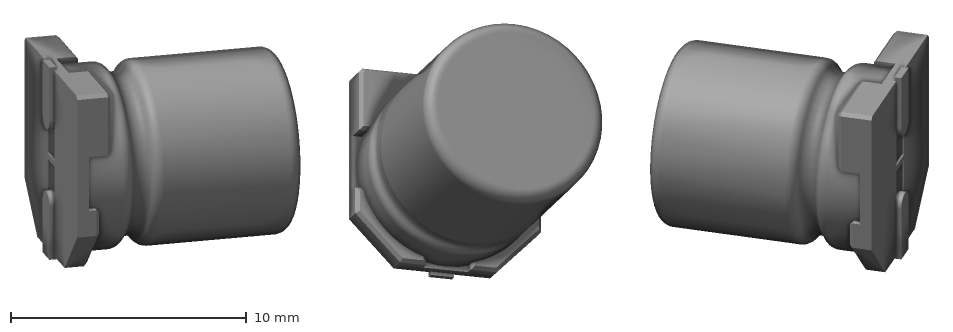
import cadquery as cq
import math

total_length = 10.2

can_radius = 4.0
can_top_fillet = 0.5
groove_centre_y = 3.2
groove_depth = 0.5
groove_arc_radius = 0.5

base_width = 8.3
base_half = base_width / 2
base_front_y = 0.21
plate_back_y = 0.72
tall_post_back_y = 1.72
short_post_back_y = 1.22
corner_cut = 2.0
post_chamfer = 0.15
end_gap_half = 1.0
side_gap_top = 1.4
side_gap_bottom = -1.0

lead_width = 1.04
lead_thickness = 0.31
lead_span = 8.6
lead_outer_z = lead_span / 2
lead_inner_z = 1.4
lead_end_radius = 0.5
slot_width = 1.11
slot_inner_z = 0.13


def slab(points, y_start, y_end):
    """Extrude a closed (x, z) outline along +Y from y_start to y_end."""
    plane = cq.Plane(origin=(0, y_start, 0), xDir=(1, 0, 0), normal=(0, -1, 0))
    return cq.Workplane(plane).polyline(points).close().extrude(y_start - y_end)


def make_can():
    """Revolve the can profile: flat bottom, rolled groove and rounded top edge."""
    half_length = math.sqrt(groove_depth * (4 * groove_arc_radius - groove_depth))
    arc_angle = math.asin(half_length / (2 * groove_arc_radius))
    mid_along = groove_arc_radius * math.sin(arc_angle / 2)
    mid_drop = groove_arc_radius * (1 - math.cos(arc_angle / 2))
    groove_start = groove_centre_y - half_length
    groove_end = groove_centre_y + half_length
    floor_radius = can_radius - groove_depth
    middle_radius = can_radius - groove_depth / 2
    shell_mid = can_radius - mid_drop
    floor_mid = floor_radius + mid_drop

    profile = (
        cq.Workplane("XY")
        .moveTo(0, plate_back_y)
        .lineTo(can_radius, plate_back_y)
        .lineTo(can_radius, groove_start)
        .threePointArc(
            (shell_mid, groove_start + mid_along),
            (middle_radius, groove_centre_y - half_length / 2),
        )
        .threePointArc((floor_mid, groove_centre_y - mid_along), (floor_radius, groove_centre_y))
        .threePointArc(
            (floor_mid, groove_centre_y + mid_along),
            (middle_radius, groove_centre_y + half_length / 2),
        )
        .threePointArc((shell_mid, groove_end - mid_along), (can_radius, groove_end))
        .lineTo(can_radius, total_length)
        .lineTo(0, total_length)
        .close()
    )
    can = profile.revolve(360, (0, 0, 0), (0, 1, 0))
    return can.faces(">Y").edges().fillet(can_top_fillet)


def make_post(points, back_y):
    """Corner post with a chamfered back rim."""
    return slab(points, base_front_y, back_y).faces(">Y").edges().chamfer(post_chamfer)


def make_base():
    """Plate with four corner posts around the can and two lead slots in its front face."""
    flat_half = base_half - corner_cut
    top_flat_half = base_half - post_chamfer
    top_corner_z = base_half - post_chamfer
    outline = [
        (-flat_half, -base_half),
        (flat_half, -base_half),
        (base_half, -flat_half),
        (base_half, top_corner_z),
        (top_flat_half, base_half),
        (-top_flat_half, base_half),
        (-base_half, top_corner_z),
        (-base_half, -flat_half),
    ]
    base = slab(outline, base_front_y, plate_back_y)

    for side in (-1, 1):
        tall_post = [
            (side * end_gap_half, side_gap_top),
            (side * base_half, side_gap_top),
            (side * base_half, top_corner_z),
            (side * top_flat_half, base_half),
            (side * end_gap_half, base_half),
        ]
        short_post = [
            (side * end_gap_half, side_gap_bottom),
            (side * base_half, side_gap_bottom),
            (side * base_half, -flat_half),
            (side * flat_half, -base_half),
            (side * end_gap_half, -base_half),
        ]
        base = base.union(make_post(tall_post, tall_post_back_y))
        base = base.union(make_post(short_post, short_post_back_y))

    can_seat = (
        cq.Workplane("XZ", origin=(0, plate_back_y, 0))
        .circle(can_radius)
        .extrude(plate_back_y - total_length)
    )
    base = base.cut(can_seat)

    for end in (-1, 1):
        slot = [
            (-slot_width / 2, end * slot_inner_z),
            (slot_width / 2, end * slot_inner_z),
            (slot_width / 2, end * base_half),
            (-slot_width / 2, end * base_half),
        ]
        base = base.cut(slab(slot, base_front_y, lead_thickness))
    return base


def make_lead(end):
    """Flat lead strip with a rounded inner end; end is +1 at the top, -1 at the bottom."""
    strip = [
        (-lead_width / 2, end * lead_inner_z),
        (lead_width / 2, end * lead_inner_z),
        (lead_width / 2, end * lead_outer_z),
        (-lead_width / 2, end * lead_outer_z),
    ]
    inner_side = "<Z" if end > 0 else ">Z"
    return slab(strip, 0, lead_thickness).faces(inner_side).edges("|Y").fillet(lead_end_radius)


can = make_can()
base = make_base()
leads = [make_lead(end) for end in (1, -1)]

result = cq.Compound.makeCompound([can.val(), base.val(), *[lead.val() for lead in leads]])